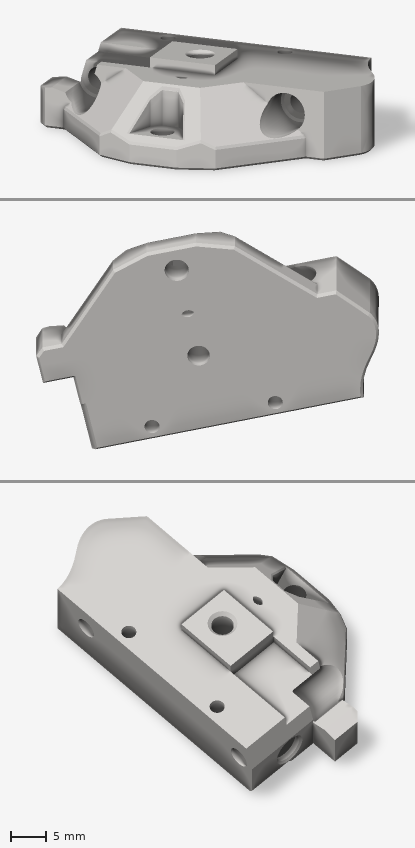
import cadquery as cq
import math

top_z = 10.25
block_top_z = 11.7
pocket_floor_z = 8.85

back_y = 11.85
front_y = -17.7
wing_y = -5.85
left_x = -18.05
right_corner_x = 21.23
tab_left_x = -22.45
tab_back_y = -0.25
tab_corner = 1.15

flank_end = (25.05, -1.3)
widest_point = (48.15 + tab_left_x, 0.85)
wave_points = [(24.7, 4.35), (23.1, 6.65), (21.75, 9.25)]

nose_half_width = 3.55
shoulder_x = 8.8
shoulder_y = -16.0
diagonal_start_x = 18.5
crest_y = -10.7
crest_half_width = 4.35
base_edge_chamfer = 0.25
base_edge_low_z = 2.9
base_edge_high_z = 4.55
steepest_wall_edge = 0.6

bottom_chamfer = 0.4
bevel_angle = 45.0
left_chamfer = 0.85
left_chamfer_front_y = 4.1
left_slope_z = 6.25
left_slope_run = 1.15

tab_left_z = 5.78
tab_ridge_x = -20.25
tab_ridge_z = 6.1
tab_right_x = -18.25
tab_right_z = 5.6

bore_x = 15.4
bore_z = 6.5
bore_diameter = 3.2
counterbore_diameter = 5.8
seat_diameter = 5.05
seat_taper_length = 0.3

block_left_x = -5.95
block_right_x = 3.95
block_back_y = 4.25
block_front_y = -4.15
pocket_front_y = -4.3
dovetail_base_z = 9.9
dovetail_side_inset = 1.15
dovetail_end_inset = 0.85
screw_diameter = 3.2
screw_mouth_diameter = 4.2

left_relief_x = -13.7

window_floor_z = 4.25
window_back_y = -11.15
window_corner_y = -12.4
window_back_half_width = 1.2
window_corner_half_width = 2.5
window_front_half_width = 4.3
window_front_y = -17.1
window_rim_chamfer = 0.25
window_rim_angle = 60.0
nose_hole_y = -14.15
nose_hole_diameter = 3.4

back_hole_x = 8.9
back_hole_y = 9.75
small_hole_diameter = 2.1
lens_back_y = -6.45
lens_front_y = -7.45

recess_y = 4.45
recess_z = 3.5
recess_mouth_diameter = 5.05
recess_floor_diameter = 4.4
recess_taper_depth = 0.3
recess_depth = 1.1

tool_reach = 28.9
clearance = 2.4


def box(x0, x1, y0, y1, z0, z1):
    return cq.Workplane("XY").box(x1 - x0, y1 - y0, z1 - z0, centered=False).translate((x0, y0, z0))


def z_cylinder(diameter, x, y, z0, z1):
    return cq.Workplane("XY", origin=(x, y, z0)).circle(diameter / 2).extrude(z1 - z0)


def cone(diameter_start, diameter_end, length, point, direction):
    return cq.Workplane(
        cq.Solid.makeCone(diameter_start / 2, diameter_end / 2, length, cq.Vector(*point), cq.Vector(*direction))
    )


def plan_outline(plane):
    """Outline of the whole housing at its underside level."""
    return (
        plane.moveTo(left_x, back_y)
        .lineTo(left_x, tab_back_y)
        .lineTo(tab_left_x, tab_back_y)
        .lineTo(tab_left_x, wing_y + tab_corner)
        .lineTo(tab_left_x + tab_corner, wing_y)
        .lineTo(-diagonal_start_x, wing_y)
        .lineTo(-shoulder_x, shoulder_y)
        .lineTo(-nose_half_width, front_y)
        .lineTo(nose_half_width, front_y)
        .lineTo(shoulder_x, shoulder_y)
        .lineTo(diagonal_start_x, wing_y)
        .lineTo(right_corner_x, wing_y)
        .lineTo(*flank_end)
        .spline([widest_point, *wave_points, (right_corner_x, back_y)], includeCurrent=True)
        .close()
    )


def full_prism():
    """Outline raised to the top surface, with a bevel around the underside."""
    upper = plan_outline(cq.Workplane("XY", origin=(0, 0, bottom_chamfer)))
    bevel = plan_outline(cq.Workplane("XY", origin=(0, 0, bottom_chamfer)))
    return upper.extrude(top_z - bottom_chamfer).union(
        bevel.extrude(-bottom_chamfer, taper=bevel_angle)
    )


def cut_nose_slopes(body):
    """Slope the nose down at 45 degrees to the front and to both diagonal walls."""
    front = (
        cq.Workplane("YZ", origin=(-tool_reach, 0, 0))
        .polyline([(crest_y, top_z), (crest_y - tool_reach, top_z - tool_reach), (crest_y - tool_reach, top_z)])
        .close()
        .extrude(2 * tool_reach)
    )
    body = body.cut(front)
    wall_angle = math.atan2(shoulder_y - wing_y, diagonal_start_x - shoulder_x)
    crest_distance = -crest_half_width * math.sin(wall_angle) - crest_y * math.cos(wall_angle)
    diagonal = (
        cq.Workplane("XZ", origin=(0, tool_reach, 0))
        .polyline([
            (crest_distance, top_z),
            (crest_distance + tool_reach, top_z - tool_reach),
            (crest_distance + tool_reach, top_z),
        ])
        .close()
        .extrude(2 * tool_reach)
        .rotate((0, 0, 0), (0, 0, 1), -90 - math.degrees(wall_angle))
        .intersect(box(-tool_reach, tool_reach, -tool_reach, wing_y, 0, top_z))
    )
    return body.cut(diagonal).cut(diagonal.mirror("YZ"))


def chamfer_base_edges(body):
    """Bevel the edges where the nose slopes meet the base walls."""
    base_band = cq.selectors.BoxSelector(
        (-diagonal_start_x, front_y - 0.5, base_edge_low_z),
        (diagonal_start_x, wing_y - 0.5, base_edge_high_z),
    )

    def runs_along_wall(edge):
        return abs(edge.tangentAt(0).z) < steepest_wall_edge

    return body.edges(base_band).filter(runs_along_wall).chamfer(base_edge_chamfer)


def cut_left_wall(body):
    """Lean the upper left wall inwards and bevel its lower back part more deeply."""
    lean = (
        cq.Workplane("XZ", origin=(0, back_y + clearance, 0))
        .polyline([(left_x, left_slope_z), (left_x + left_slope_run, top_z), (left_x, top_z)])
        .close()
        .extrude(back_y + clearance - tab_back_y)
    )
    bevel = (
        cq.Workplane("XZ", origin=(0, back_y + clearance, 0))
        .polyline([(left_x, 0), (left_x + left_chamfer, 0), (left_x, left_chamfer)])
        .close()
        .extrude(back_y + clearance - left_chamfer_front_y)
    )
    return body.cut(lean).cut(bevel)


def cut_tab_roof(body):
    """Lower the tab and the left front corner, leaving a shallow ridge on the tab."""
    relief_top_x = left_relief_x + left_slope_run * (top_z - pocket_floor_z) / (top_z - left_slope_z)
    relief = (
        cq.Workplane("XZ", origin=(0, tab_back_y, 0))
        .polyline([
            (tab_left_x, tab_left_z),
            (tab_ridge_x, tab_ridge_z),
            (tab_right_x, tab_right_z),
            (-bore_x, bore_z),
            (left_relief_x, pocket_floor_z),
            (relief_top_x, top_z),
            (tab_left_x, top_z),
        ])
        .close()
        .extrude(tab_back_y - wing_y)
    )
    return body.cut(relief)


def cut_bores(body):
    """Counterbored screw bores along Y, with a tapered seat at the end of each counterbore."""
    seat_y = tab_back_y
    counterbore_y = seat_y - seat_taper_length
    for x in (-bore_x, bore_x):
        through = (
            cq.Workplane("XZ", origin=(x, back_y + clearance, bore_z))
            .circle(bore_diameter / 2)
            .extrude(back_y - front_y + 2 * clearance)
        )
        counterbore = (
            cq.Workplane("XZ", origin=(x, counterbore_y, bore_z))
            .circle(counterbore_diameter / 2)
            .extrude(counterbore_y - front_y)
        )
        seat = cone(seat_diameter, counterbore_diameter, seat_taper_length, (x, seat_y, bore_z), (0, -1, 0))
        body = body.cut(through).cut(counterbore).cut(seat)
    return body


def cut_pocket(body):
    """Open-ended pocket that leads from the left wall to the block."""
    return body.cut(
        box(left_x - clearance, block_left_x, pocket_front_y, block_back_y, pocket_floor_z, top_z + clearance)
    )


def window_outline(plane, stretch):
    """Plan of the window, measured from the crest of the front slope and stretched along the slope."""
    back = (window_back_y - crest_y) * stretch
    corner = (window_corner_y - crest_y) * stretch
    front = (window_front_y - crest_y) * stretch
    return plane.polyline([
        (-window_back_half_width, back),
        (window_back_half_width, back),
        (window_corner_half_width, corner),
        (window_front_half_width, front),
        (-window_front_half_width, front),
        (-window_corner_half_width, corner),
    ]).close()


def cut_window(body):
    """Window in the front slope with a flat floor and a bevelled rim."""
    shaft = window_outline(cq.Workplane("XY", origin=(0, crest_y, window_floor_z)), 1).extrude(top_z)
    slope_plane = cq.Plane(origin=(0, crest_y, top_z), xDir=(1, 0, 0), normal=(0, -1, 1))
    rim = (
        window_outline(cq.Workplane(slope_plane), math.sqrt(2))
        .offset2D(window_rim_chamfer, "intersection")
        .extrude(-window_rim_chamfer, taper=window_rim_angle)
    )
    above_floor = box(-diagonal_start_x, diagonal_start_x, front_y, wing_y, window_floor_z, block_top_z)
    return body.cut(shaft).cut(rim.intersect(above_floor))


def cut_vertical_holes(body):
    for x in (-back_hole_x, back_hole_x):
        body = body.cut(z_cylinder(small_hole_diameter, x, back_hole_y, -clearance, top_z + clearance))
    body = body.cut(z_cylinder(nose_hole_diameter, 0, nose_hole_y, -clearance, top_z))
    lens = z_cylinder(small_hole_diameter, 0, lens_back_y, -clearance, top_z + clearance).intersect(
        z_cylinder(small_hole_diameter, 0, lens_front_y, -clearance, top_z + clearance)
    )
    body = body.cut(lens)
    return body.cut(z_cylinder(screw_diameter, 0, 0, -clearance, block_top_z))


def cut_round_recess(body):
    """Blind recess in the left wall with a tapered mouth."""
    mouth = cone(
        recess_mouth_diameter, recess_floor_diameter, recess_taper_depth, (left_x, recess_y, recess_z), (1, 0, 0)
    )
    well = (
        cq.Workplane("YZ", origin=(left_x, recess_y, recess_z))
        .circle(recess_floor_diameter / 2)
        .extrude(recess_depth)
    )
    return body.cut(mouth).cut(well)


def dovetail_shape():
    """Rectangular foot with sides that lean inwards above it; the left end is upright."""
    foot = box(block_left_x, block_right_x, block_front_y, block_back_y, pocket_floor_z, dovetail_base_z)
    lower = [
        (block_left_x, block_front_y), (block_right_x, block_front_y),
        (block_right_x, block_back_y), (block_left_x, block_back_y),
    ]
    upper = [
        (block_left_x, block_front_y + dovetail_side_inset),
        (block_right_x - dovetail_end_inset, block_front_y + dovetail_side_inset),
        (block_right_x - dovetail_end_inset, block_back_y - dovetail_side_inset),
        (block_left_x, block_back_y - dovetail_side_inset),
    ]
    wedge = (
        cq.Workplane("XY", origin=(0, 0, dovetail_base_z))
        .polyline(lower)
        .close()
        .workplane(offset=block_top_z - dovetail_base_z)
        .polyline(upper)
        .close()
        .loft(ruled=True)
    )
    return foot.union(wedge)


def make_housing():
    body = cut_nose_slopes(full_prism())
    body = chamfer_base_edges(body)
    body = cut_window(body)
    body = cut_left_wall(body)
    body = cut_tab_roof(body)
    body = cut_pocket(body)
    body = cut_bores(body)
    body = cut_round_recess(body)
    frame = box(block_left_x, block_right_x, block_front_y, block_back_y, pocket_floor_z, block_top_z)
    body = body.union(frame).cut(dovetail_shape())
    return cut_vertical_holes(body)


def make_insert():
    """Dovetail insert with a countersunk screw hole."""
    mouth_depth = (screw_mouth_diameter - screw_diameter) / 2
    hole = z_cylinder(screw_diameter, 0, 0, pocket_floor_z, block_top_z)
    mouth = cone(screw_mouth_diameter, screw_diameter, mouth_depth, (0, 0, block_top_z), (0, 0, -1))
    return dovetail_shape().cut(hole).cut(mouth)


housing = make_housing()
insert = make_insert()

result = cq.Compound.makeCompound([housing.val(), insert.val()])